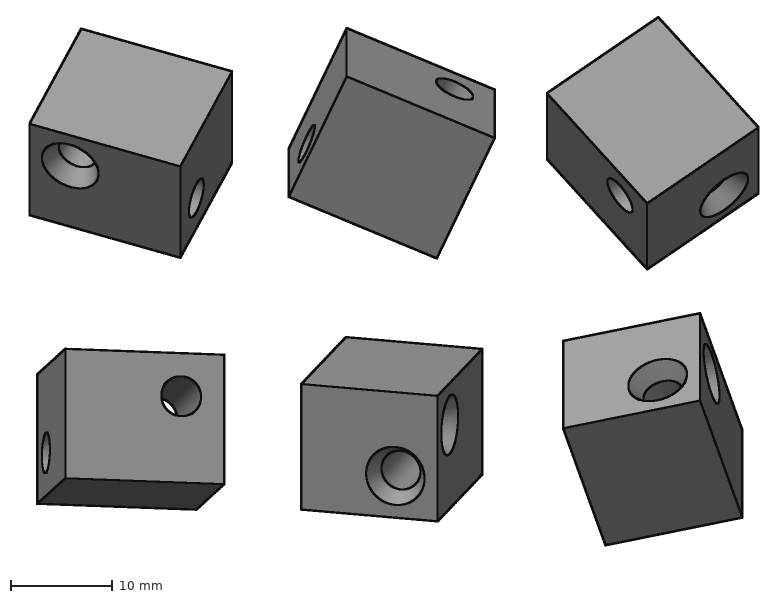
import cadquery as cq

length_x = 16.0
width_y = 14.0
height_z = 13.0

hole_diameter = 4.0
countersink_diameter = 6.0
countersink_depth = 2.0
edge_distance = height_z / 3

left_x = -length_x / 2
front_y = -width_y / 2
top_z = height_z / 2
bottom_z = -height_z / 2


def countersunk_hole(entry_point, direction, through_length):
    """Cutting tool: a straight hole with a conical mouth at the entry point."""
    entry = cq.Vector(*entry_point)
    axis = cq.Vector(*direction)
    bore = cq.Solid.makeCylinder(hole_diameter / 2, through_length, entry, axis)
    mouth = cq.Solid.makeCone(
        countersink_diameter / 2, hole_diameter / 2, countersink_depth, entry, axis
    )
    return cq.Workplane(bore.fuse(mouth))


block = cq.Workplane("XY").box(length_x, width_y, height_z)

upper_entry = (left_x + edge_distance, front_y, top_z - edge_distance)
upper_hole = countersunk_hole(upper_entry, (0, 1, 0), width_y)

lower_entry = (left_x, front_y + edge_distance, bottom_z + edge_distance)
lower_hole = countersunk_hole(lower_entry, (1, 0, 0), length_x)

result = block.cut(upper_hole).cut(lower_hole)